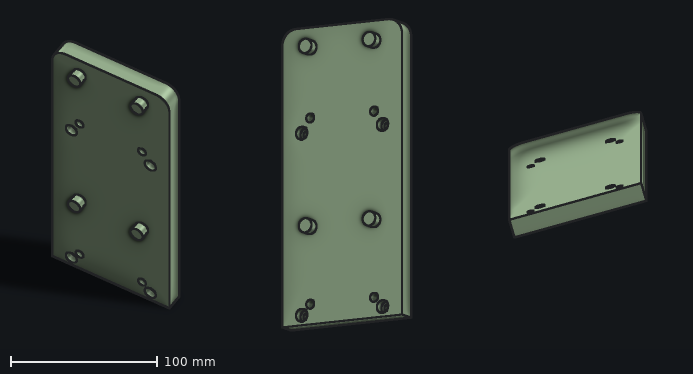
import cadquery as cq

plate_width = 94.0
plate_height = 207.0
total_depth = 20.0
pin_length = 7.0
plate_thickness = total_depth - pin_length
corner_radius = 11.0

column_spacing = 50.0
pin_diameter = 10.0
pin_heights = (67.9, 193.0)
hole_diameter = 6.2
hole_heights = (14.0, 143.9)

screw_spacing = 63.3
screw_diameter = 4.1
counterbore_diameter = 9.0
counterbore_depth = 6.2
screw_heights = (7.0, 134.0)


def mirrored_points(spacing, heights):
    """Points at both sides of the centre line for every height."""
    return [(side * spacing / 2, z) for z in heights for side in (-1, 1)]


plate = (
    cq.Workplane("XZ")
    .rect(plate_width, plate_height)
    .extrude(-plate_thickness)
    .translate((0, 0, plate_height / 2))
    .edges("|Y and >Z")
    .fillet(corner_radius)
)

hole_cutters = (
    cq.Workplane("XZ")
    .pushPoints(mirrored_points(column_spacing, hole_heights))
    .circle(hole_diameter / 2)
    .extrude(-plate_thickness)
)

screw_points = mirrored_points(screw_spacing, screw_heights)
screw_cutters = (
    cq.Workplane("XZ")
    .pushPoints(screw_points)
    .circle(screw_diameter / 2)
    .extrude(-plate_thickness)
)
counterbore_cutters = (
    cq.Workplane("XZ")
    .pushPoints(screw_points)
    .circle(counterbore_diameter / 2)
    .extrude(-counterbore_depth)
)

pins = (
    cq.Workplane("XZ")
    .pushPoints(mirrored_points(column_spacing, pin_heights))
    .circle(pin_diameter / 2)
    .extrude(pin_length)
)

result = plate.cut(hole_cutters).cut(screw_cutters).cut(counterbore_cutters).union(pins)